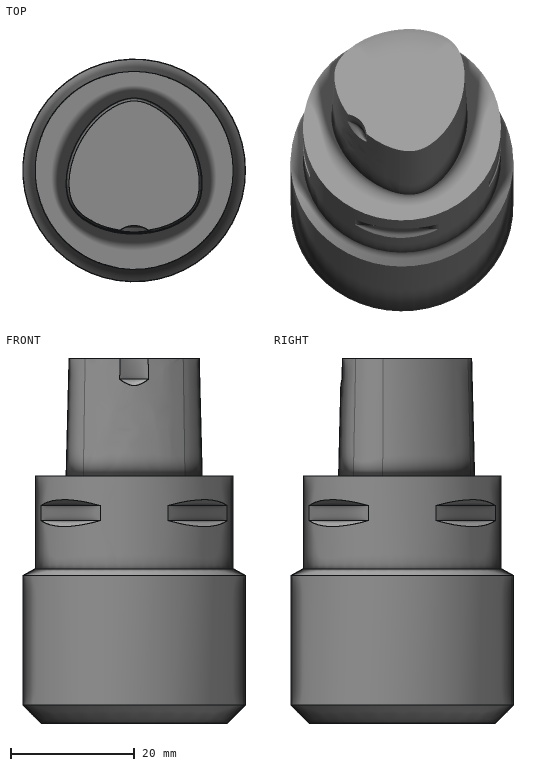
import cadquery as cq
import math

collar_diameter = 36.0
neck_diameter = 32.0
total_height = 59.0
shank_height = 19.0
neck_height = 15.0
bottom_chamfer = 3.0
shoulder_cone_height = 1.1
shank_base_z = total_height - shank_height
neck_base_z = shank_base_z - neck_height

shank_mean_diameter = 22.0
lobe_eccentricity = 0.7
shank_taper = 1 / 20
lobe_count = 3
lobe_half_angle = math.radians(24)
lobe_pitch = 2 * math.pi / lobe_count
first_lobe_angle = math.pi / 2
points_per_span = 9

notch_radius = 3.7
notch_inner_y = -8.9
notch_wall_depth = 3.35
notch_axis_y = notch_inner_y - notch_radius

groove_count = 4
groove_first_angle = 45.0
groove_depth = 1.5
groove_floor_height = 2.4
groove_flank_angle = math.radians(33)
groove_below_neck_face = 6.0
groove_z = shank_base_z - groove_below_neck_face


def turned_body():
    """Revolve the half profile of the collar and the neck."""
    collar_radius = collar_diameter / 2
    neck_radius = neck_diameter / 2
    return (
        cq.Workplane("XZ")
        .lineTo(collar_radius - bottom_chamfer, 0)
        .lineTo(collar_radius, bottom_chamfer)
        .lineTo(collar_radius, neck_base_z - shoulder_cone_height)
        .lineTo(neck_radius, neck_base_z)
        .lineTo(neck_radius, shank_base_z)
        .lineTo(0, shank_base_z)
        .close()
        .revolve(360, (0, 0), (0, 1))
    )


def lobed_point(mean_radius, angle, z):
    """Point of the lobed outline whose outward normal lies at the given angle."""
    phase = lobe_count * (angle - first_lobe_angle)
    reach = mean_radius + lobe_eccentricity * math.cos(phase)
    slope = -lobe_count * lobe_eccentricity * math.sin(phase)
    x = reach * math.cos(angle) - slope * math.sin(angle)
    y = reach * math.sin(angle) + slope * math.cos(angle)
    return cq.Vector(x, y, z)


def lobed_span(mean_radius, start, end, z):
    """Smooth curve along the lobed outline between two normal angles."""
    step = (end - start) / (points_per_span - 1)
    angles = [start + i * step for i in range(points_per_span)]
    points = [lobed_point(mean_radius, angle, z) for angle in angles]
    return cq.Edge.makeSpline(points)


def lobed_outline(mean_diameter, z):
    """Closed outline made of alternating lobe and flank curves."""
    spans = []
    for i in range(lobe_count):
        lobe_angle = first_lobe_angle + i * lobe_pitch
        lobe_start = lobe_angle - lobe_half_angle
        lobe_end = lobe_angle + lobe_half_angle
        next_lobe_start = lobe_start + lobe_pitch
        spans.append(lobed_span(mean_diameter / 2, lobe_start, lobe_end, z))
        spans.append(lobed_span(mean_diameter / 2, lobe_end, next_lobe_start, z))
    return cq.Wire.assembleEdges(spans)


def lobed_shank():
    """Loft the shank from the neck face to its smaller top outline."""
    top_diameter = shank_mean_diameter - shank_taper * shank_height
    base = lobed_outline(shank_mean_diameter, shank_base_z)
    top = lobed_outline(top_diameter, total_height)
    return cq.Workplane(cq.Solid.makeLoft([base, top], True))


def notch_cutter():
    """Vertical drill with a 90 degree point, its axis just outside the shank."""
    return (
        cq.Workplane("XZ")
        .lineTo(notch_radius, 0)
        .lineTo(notch_radius, -notch_wall_depth)
        .lineTo(0, -notch_wall_depth - notch_radius)
        .close()
        .revolve(360, (0, 0), (0, 1))
        .translate((0, notch_axis_y, total_height))
    )


def groove_cutter(angle):
    """Trapezoidal bar that widens outwards, cut across the neck at one angle."""
    neck_radius = neck_diameter / 2
    floor_x = neck_radius - groove_depth
    floor_half = groove_floor_height / 2
    mouth_half = floor_half + groove_depth * math.tan(groove_flank_angle)
    return (
        cq.Workplane("XZ")
        .moveTo(floor_x, -floor_half)
        .lineTo(neck_radius, -mouth_half)
        .lineTo(neck_radius, mouth_half)
        .lineTo(floor_x, floor_half)
        .close()
        .extrude(neck_radius, both=True)
        .translate((0, 0, groove_z))
        .rotate((0, 0, 0), (0, 0, 1), angle)
    )


body = turned_body().union(lobed_shank()).cut(notch_cutter())
for index in range(groove_count):
    body = body.cut(groove_cutter(groove_first_angle + index * 360 / groove_count))

result = body